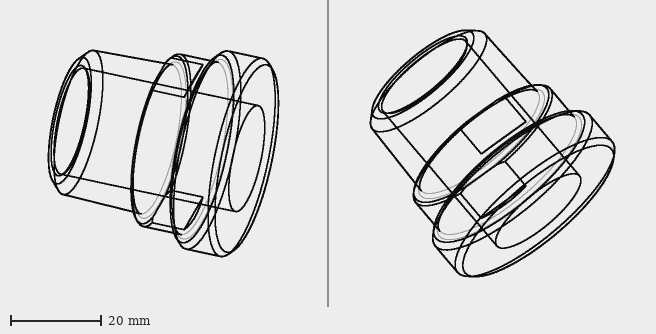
import cadquery as cq
import math

length = 41.5
collar_start = 21.0
flat_end = 29.0
flange_start = 31.0

bore_radius = 24.0 / 2
flange_radius = 44.85 / 2
collar_radius = 39 / 2
spigot_tip_radius = 16.33
spigot_taper = 1 / 32
spigot_chamfer = 2.0
bore_chamfer = 0.5
collar_chamfer = 0.55
flange_chamfer = 1.2
root_fillet = 0.8

flat_height = 18.5
flat_end_slope = 15

fillet_start = collar_start - root_fillet
spigot_root_radius = spigot_tip_radius + spigot_taper * (fillet_start - spigot_chamfer)


def root_arc(outline, start_x, start_radius):
    """Add a quarter-round fillet rising from a shaft to a shoulder."""
    middle_x = start_x + root_fillet * math.sin(math.radians(45))
    middle_radius = start_radius + root_fillet * (1 - math.cos(math.radians(45)))
    end = (start_x + root_fillet, start_radius + root_fillet)
    return outline.threePointArc((middle_x, middle_radius), end)


def make_body():
    """Revolve the tapered spigot, collar, flange and through bore around X."""
    outline = (
        cq.Workplane("XY")
        .moveTo(bore_chamfer, bore_radius)
        .lineTo(0, bore_radius + bore_chamfer)
        .lineTo(0, spigot_tip_radius - spigot_chamfer)
        .lineTo(spigot_chamfer, spigot_tip_radius)
        .lineTo(fillet_start, spigot_root_radius)
    )
    outline = root_arc(outline, fillet_start, spigot_root_radius)
    outline = (
        outline.lineTo(collar_start, collar_radius - collar_chamfer)
        .lineTo(collar_start + collar_chamfer, collar_radius)
        .lineTo(flange_start - root_fillet, collar_radius)
    )
    outline = root_arc(outline, flange_start - root_fillet, collar_radius)
    outline = (
        outline.lineTo(flange_start, flange_radius - flange_chamfer)
        .lineTo(flange_start + flange_chamfer, flange_radius)
        .lineTo(length - flange_chamfer, flange_radius)
        .lineTo(length, flange_radius - flange_chamfer)
        .lineTo(length, bore_radius)
        .close()
    )
    return outline.revolve(360, (0, 0, 0), (1, 0, 0))


def make_flat_cutter(side):
    """Block that cuts one flat; side is +1 for the top and -1 for the bottom."""
    depth = collar_radius - flat_height
    slope_run = depth * math.tan(math.radians(flat_end_slope))
    return (
        cq.Workplane("XZ")
        .moveTo(collar_start, side * flat_height)
        .lineTo(flat_end, side * flat_height)
        .lineTo(flat_end + slope_run, side * collar_radius)
        .lineTo(collar_start, side * collar_radius)
        .close()
        .extrude(collar_radius, both=True)
    )


result = make_body()
for side in (1, -1):
    result = result.cut(make_flat_cutter(side))